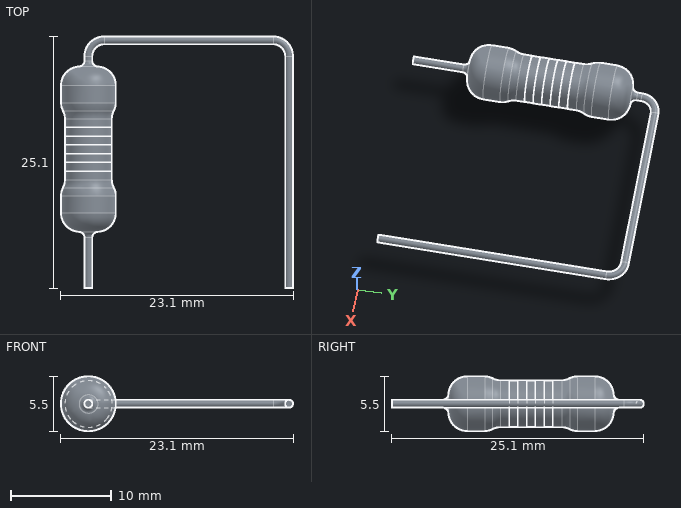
import cadquery as cq
import math

wire_diameter = 0.8
lead_pitch = 20.0
overall_length = 25.1
bend_radius = 1.6

body_center_y = 13.85
cap_diameter = 5.5
band_diameter = 4.7
core_diameter = 4.67
band_count = 4
band_width = 0.87
cap_cylinder_start = 4.63
cap_cylinder_end = 6.35
dome_radius = 1.9
root_fillet = 0.55

wire_radius = wire_diameter / 2
cap_radius = cap_diameter / 2
band_radius = band_diameter / 2
core_radius = core_diameter / 2
section_count = 2 * band_count - 1
waist_half = section_count * band_width / 2

neck_length = cap_cylinder_start - waist_half
neck_rise = cap_radius - band_radius
neck_angle = 2 * math.atan2(neck_rise, neck_length)
neck_arc_radius = neck_length / (2 * math.sin(neck_angle))


def arc_middle(center, radius, start_angle, end_angle):
    """Point halfway along an arc; angles in radians from the radial direction."""
    angle = (start_angle + end_angle) / 2
    return (center[0] + radius * math.cos(angle), center[1] + radius * math.sin(angle))


def turn_about_lead(outline):
    """Full turn of a half outline about the first lead's axis (the Y axis)."""
    return outline.revolve(360, (0, 0, 0), (0, 1, 0))


def make_end(direction):
    """One body end (neck, cap, dome and root fillet); direction +1 or -1 along Y."""
    neck_middle = (band_radius + neck_rise / 2, waist_half + neck_length / 2)
    concave_center = (band_radius + neck_arc_radius, waist_half)
    convex_center = (cap_radius - neck_arc_radius, cap_cylinder_start)

    dome_center = (cap_radius - dome_radius, cap_cylinder_end)
    root_offset = wire_radius + root_fillet - dome_center[0]
    root_rise = math.sqrt((dome_radius + root_fillet) ** 2 - root_offset**2)
    root_center = (wire_radius + root_fillet, cap_cylinder_end + root_rise)
    contact_angle = math.atan2(root_rise, root_offset)
    dome_end = (
        dome_center[0] + dome_radius * math.cos(contact_angle),
        dome_center[1] + dome_radius * math.sin(contact_angle),
    )

    concave_middle = arc_middle(concave_center, neck_arc_radius, math.pi, math.pi - neck_angle)
    convex_middle = arc_middle(convex_center, neck_arc_radius, -neck_angle, 0)
    dome_middle = arc_middle(dome_center, dome_radius, 0, contact_angle)
    root_middle = arc_middle(root_center, root_fillet, math.pi, math.pi + contact_angle)

    def place(point):
        return (point[0], body_center_y + direction * point[1])

    outline = (
        cq.Workplane("XY")
        .moveTo(*place((0, waist_half)))
        .lineTo(*place((band_radius, waist_half)))
        .threePointArc(place(concave_middle), place(neck_middle))
        .threePointArc(place(convex_middle), place((cap_radius, cap_cylinder_start)))
        .lineTo(*place((cap_radius, cap_cylinder_end)))
        .threePointArc(place(dome_middle), place(dome_end))
        .threePointArc(place(root_middle), place((wire_radius, root_center[1])))
        .lineTo(*place((0, root_center[1])))
        .close()
    )
    return turn_about_lead(outline)


def make_waist():
    """Waist of raised colour bands alternating with the slightly thinner core."""
    waist_start = body_center_y - waist_half
    outline = cq.Workplane("XY").moveTo(0, waist_start)
    for section in range(section_count):
        radius = band_radius if section % 2 == 0 else core_radius
        section_start = waist_start + section * band_width
        outline = outline.lineTo(radius, section_start)
        outline = outline.lineTo(radius, section_start + band_width)
    outline = outline.lineTo(0, body_center_y + waist_half).close()
    return turn_about_lead(outline)


def make_wire():
    """Wire running up through the body, across, and back down to Y = 0."""
    cross_y = overall_length - wire_radius
    bend_y = cross_y - bend_radius
    path = (
        cq.Workplane("XY")
        .lineTo(0, bend_y)
        .tangentArcPoint((bend_radius, bend_radius))
        .lineTo(lead_pitch - bend_radius, cross_y)
        .tangentArcPoint((bend_radius, -bend_radius))
        .lineTo(lead_pitch, 0)
    )
    return cq.Workplane("XZ").circle(wire_radius).sweep(path)


result = make_waist().union(make_end(1)).union(make_end(-1)).union(make_wire())